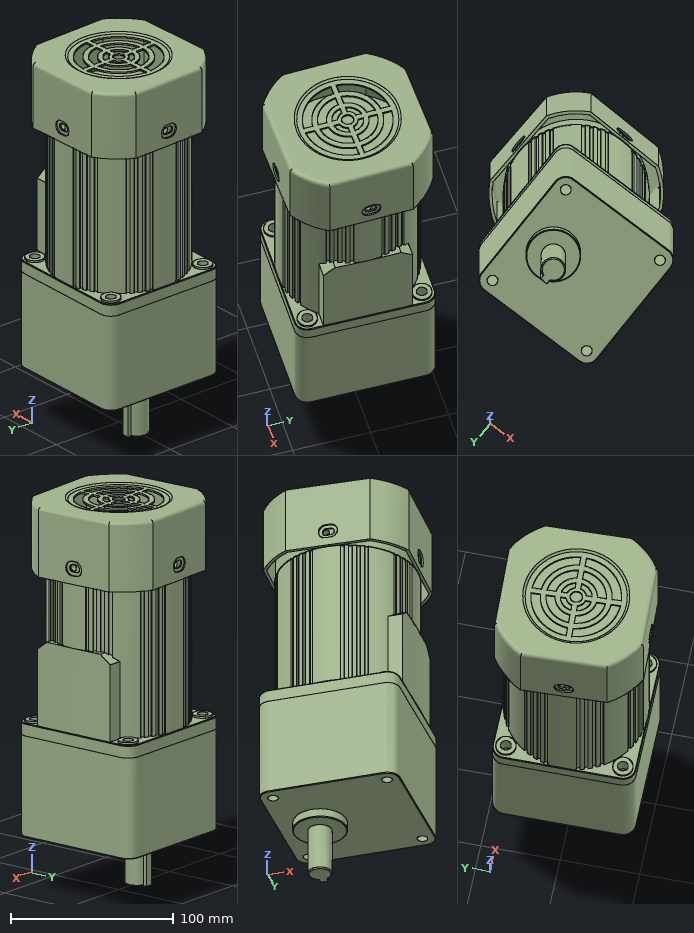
import cadquery as cq
shaft_length = 37.0
gearbox_height = 65.0
flange_height = 8.0
overall_height = 252.0
cap_height = 45.0
gearbox_bottom = shaft_length
gearbox_top = gearbox_bottom + gearbox_height
flange_top = gearbox_top + flange_height
cap_bottom = overall_height - cap_height

square_half = 45.0
square_corner_radius = 8.0
bolt_offset = 36.8
bolt_hole_radius = 3.3
bolt_pad_radius = 6.3
bolt_pad_height = 1.3
flange_chamfer = 0.5
gearbox_chamfer = 0.5

shaft_x = -18.0
shaft_radius = 7.5
shaft_chamfer = 0.8
boss_radius = 17.0
boss_height = 5.8
boss_chamfer = 0.5
key_length = 25.2
key_width = 5.0
key_crest = 9.5
key_root = 4.5

barrel_radius = 45.0
groove_width = 2.3
groove_depth = 1.3
groove_first_angle = 13.0
groove_angle_step = 6.4
grooves_per_group = 4

box_half_width = 28.7
box_edge_x = 44.4
box_crest_x = 45.0
box_top = 165.3
box_chamfer_width = 7.5
box_chamfer_height = 5.5

cap_turn = 2.0
cap_half = 46.5
cap_corner_radius = 54.0
cap_top_fillet = 2.8
cap_inner_fillet = 1.8
cap_wall = 2.0
cap_roof = 1.0
cap_cavity_top = overall_height - cap_roof

dish_rim_radius = 33.0
dish_outer_radius = dish_rim_radius + cap_wall
dish_floor_radius = 31.5
dish_depth = 1.0
grille_thickness = 1.0
grille_top = overall_height - dish_depth
grille_bottom = grille_top - grille_thickness
vent_rings = [(6.3, 9.8), (13.0, 18.6), (22.2, 28.0)]
vent_bar_width = 3.5
vent_center_radius = 3.8

spigot_radius = cap_half - cap_wall
spigot_top = 220.2

screw_z = 217.0
slot_seat_length = 12.0
slot_seat_width = 9.3
slot_seat_depth = 1.0
slot_length = 7.5
slot_width = 4.8
screw_hole_radius = 2.0
screw_hole_depth = 5.0

QUARTER_TURNS = [0, 90, 180, 270]


def cylinder(radius, bottom, top, x=0):
    return cq.Workplane("XY", origin=(x, 0, bottom)).circle(radius).extrude(top - bottom)


def rounded_square(bottom, top):
    block = cq.Workplane("XY", origin=(0, 0, bottom)).rect(2 * square_half, 2 * square_half)
    return block.extrude(top - bottom).edges("|Z").fillet(square_corner_radius)


def bolt_cylinders(radius, bottom, top):
    plane = cq.Workplane("XY", origin=(0, 0, bottom))
    corners = plane.rect(2 * bolt_offset, 2 * bolt_offset, forConstruction=True)
    return corners.vertices().circle(radius).extrude(top - bottom)


def around_axis(body):
    """Four copies of a body, a quarter turn apart about the motor axis."""
    copies = cq.Workplane("XY")
    for angle in QUARTER_TURNS:
        copies = copies.add(body.rotate((0, 0, 0), (0, 0, 1), angle))
    return copies.combine()



def make_key():
    """Parallel key with a round upper end, flush with the shaft tip."""
    key_radius = key_width / 2
    straight = key_length - key_radius
    outline = (
        cq.Workplane("XZ", origin=(shaft_x, key_crest, 0))
        .moveTo(-key_radius, 0)
        .lineTo(key_radius, 0)
        .lineTo(key_radius, straight)
        .threePointArc((0, key_length), (-key_radius, straight))
        .close()
    )
    return outline.extrude(key_crest - key_root)


def make_gearbox():
    housing = rounded_square(gearbox_bottom, gearbox_top).faces("<Z").chamfer(gearbox_chamfer)
    boss = cylinder(boss_radius, gearbox_bottom - boss_height, gearbox_bottom, shaft_x)
    boss = boss.faces("<Z").chamfer(boss_chamfer)
    shaft = cylinder(shaft_radius, 0, gearbox_bottom, shaft_x).faces("<Z").chamfer(shaft_chamfer)
    gearbox = housing.union(boss).union(shaft).union(make_key())
    return gearbox.cut(bolt_cylinders(bolt_hole_radius, gearbox_bottom, gearbox_top))



def make_flange():
    """Square flange with a raised pad around each bolt hole."""
    flange = rounded_square(gearbox_top, flange_top).faces(">Z").chamfer(flange_chamfer)
    pad_top = flange_top + bolt_pad_height
    flange = flange.union(bolt_cylinders(bolt_pad_radius, flange_top, pad_top))
    return flange.cut(bolt_cylinders(bolt_hole_radius, gearbox_top, pad_top))


def make_barrel():
    """Round barrel with a group of radial grooves on each side of every face centre."""
    barrel = cylinder(barrel_radius, flange_top, cap_bottom)
    groove = cq.Workplane("XY", origin=(barrel_radius, 0, flange_top))
    groove = groove.rect(2 * groove_depth, groove_width).extrude(cap_bottom - flange_top)
    for index in range(grooves_per_group):
        angle = groove_first_angle + index * groove_angle_step
        for side in (-1, 1):
            barrel = barrel.cut(around_axis(groove.rotate((0, 0, 0), (0, 0, 1), side * angle)))
    return barrel


def make_terminal_box():
    """Box with a slightly bowed outer face and chamfered upper shoulders."""
    plan = (
        cq.Workplane("XY", origin=(0, 0, flange_top))
        .moveTo(barrel_radius / 2, -box_half_width)
        .lineTo(box_edge_x, -box_half_width)
        .threePointArc((box_crest_x, 0), (box_edge_x, box_half_width))
        .lineTo(barrel_radius / 2, box_half_width)
        .close()
        .extrude(box_top - flange_top)
    )
    shoulder_y = box_half_width - box_chamfer_width
    shoulder_z = box_top - box_chamfer_height
    profile = [
        (-box_half_width, flange_top),
        (box_half_width, flange_top),
        (box_half_width, shoulder_z),
        (shoulder_y, box_top),
        (-shoulder_y, box_top),
        (-box_half_width, shoulder_z),
    ]
    return plan.intersect(cq.Workplane("YZ").polyline(profile).close().extrude(box_crest_x))


def make_motor():
    spigot = cylinder(spigot_radius, cap_bottom, spigot_top)
    screw_hole = (
        cq.Workplane("YZ", origin=(spigot_radius - screw_hole_depth, 0, screw_z))
        .circle(screw_hole_radius)
        .extrude(screw_hole_depth)
    )
    spigot = spigot.cut(around_axis(screw_hole))
    return make_flange().union(make_barrel()).union(make_terminal_box()).union(spigot)



def cap_block(half, corner_radius, top_fillet, top):
    """Square block whose corners are trimmed to a circle and whose top edge is rounded."""
    square = cq.Workplane("XY", origin=(0, 0, cap_bottom)).rect(2 * half, 2 * half)
    block = square.extrude(top - cap_bottom).intersect(cylinder(corner_radius, cap_bottom, top))
    return block.faces(">Z").edges().fillet(top_fillet)


def make_dish():
    """Sloped rim and grille plate, as one turned disc still without vents."""
    profile = [
        (0, grille_bottom),
        (dish_outer_radius, grille_bottom),
        (dish_outer_radius, overall_height),
        (dish_rim_radius, overall_height),
        (dish_floor_radius, grille_top),
        (0, grille_top),
    ]
    return cq.Workplane("XZ").polyline(profile).close().revolve(360, (0, 0, 0), (0, 1, 0))


def make_vents():
    """Ring-shaped vents, each broken by the cross-shaped bars, and the round centre hole."""
    bar = cq.Workplane("XY", origin=(0, 0, grille_bottom)).rect(2 * dish_rim_radius, vent_bar_width)
    bar = bar.extrude(grille_thickness)
    cross = bar.union(bar.rotate((0, 0, 0), (0, 0, 1), 90))
    vents = cylinder(vent_center_radius, grille_bottom, grille_top)
    for inner, outer in vent_rings:
        ring = cylinder(outer, grille_bottom, grille_top).cut(cylinder(inner, grille_bottom, grille_top))
        vents = vents.union(ring.cut(cross))
    return vents


def make_screw_slot():
    """Slot through the cap wall with a wider seat for the screw head."""
    slot = cq.Workplane("YZ", origin=(cap_half - cap_wall, 0, screw_z))
    slot = slot.slot2D(slot_length, slot_width).extrude(cap_wall)
    seat = cq.Workplane("YZ", origin=(cap_half - slot_seat_depth, 0, screw_z))
    return slot.union(seat.slot2D(slot_seat_length, slot_seat_width).extrude(slot_seat_depth))


def make_cap():
    """Thin hollow cap with the dished grille in its roof and a screw slot in each wall."""
    cap = cap_block(cap_half, cap_corner_radius, cap_top_fillet, overall_height)
    cavity_corner_radius = cap_corner_radius - cap_wall
    cap = cap.cut(cap_block(cap_half - cap_wall, cavity_corner_radius, cap_inner_fillet, cap_cavity_top))
    cap = cap.cut(cylinder(dish_outer_radius, cap_cavity_top, overall_height))
    cap = cap.union(make_dish()).cut(make_vents()).cut(around_axis(make_screw_slot()))
    return cap.rotate((0, 0, 0), (0, 0, 1), cap_turn)


gearbox = make_gearbox()
motor = make_motor()
cap = make_cap()
result = cq.Compound.makeCompound([gearbox.val(), motor.val(), cap.val()])